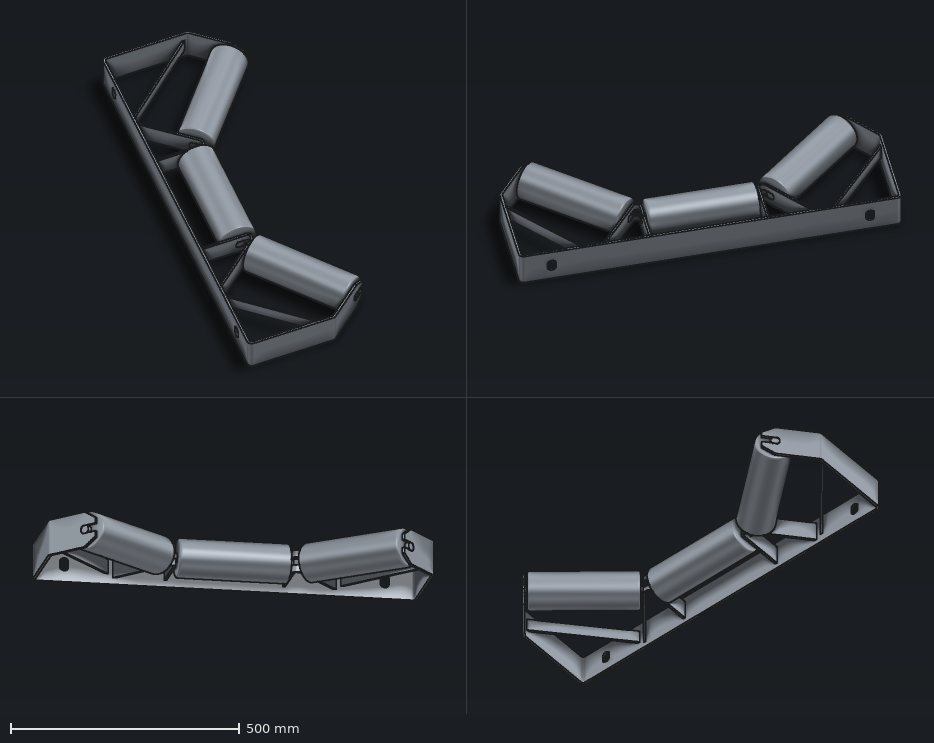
import cadquery as cq
import math

tilt = 40.0
roller_diameter = 89.0
roller_length = 249.0
roller_edge_radius = 5.0
middle_roller_y = 100.0
side_roller_x = 261.0
side_roller_y = 194.0

shaft_diameter = 21.0
flats_width = 18.0
shoulder_distance = 127.0
seat_distance = 130.0

frame_width = 860.0
strip_height = 80.0
strip_thickness = 6.0
strip_inner_radius = 5.0
arm_length = 132.0
arm_corner_length = 30.0
arm_corner_height = 18.0

mount_hole_pitch = 715.5
mount_hole_width = 19.0
mount_hole_height = 28.0

plate_thickness = 5.0
plate_inner_radius = 3.5
bracket_height = 50.0
bracket_top_y = 125.5
brace_height = 33.0
brace_foot_x = -260.0
brace_wall_y = 195.0

slot_axial_reach = 18.0
slot_open_length = 52.0

half_width = frame_width / 2
slope = math.radians(90 - tilt)
slope_x = math.cos(slope)
slope_y = math.sin(slope)
arm_bend_y = side_roller_y + (
    seat_distance + strip_thickness - (half_width - side_roller_x) * slope_y
) / slope_x
arm_tip = (-half_width + arm_length * slope_x, arm_bend_y + arm_length * slope_y)
shaft_length = 2 * (seat_distance + plate_thickness)


def prism(points, height):
    """Prism on a closed XY outline, centred on Z = 0."""
    return cq.Workplane("XY").polyline(points).close().extrude(height / 2, both=True)


def mirror_points(points):
    return [(-x, y) for x, y in reversed(points)]


def fillet_upright_edge(body, point, radius):
    """Fillet the edge along Z that passes through an XY point."""
    x, y = point
    reach = 0.4
    around_edge = cq.selectors.BoxSelector(
        (x - reach, y - reach, -strip_height), (x + reach, y + reach, strip_height)
    )
    return body.edges(around_edge).fillet(radius)


def round_bend(body, outer, inner, inner_radius, thickness):
    """Round a sheet bend, given its sharp outer and inner corners."""
    body = fillet_upright_edge(body, outer, inner_radius + thickness)
    return fillet_upright_edge(body, inner, inner_radius)


def place_rollerwise(body):
    """Copies of a body built for a roller along X at the origin, at the three roller places."""
    copies = [body.translate((0, middle_roller_y, 0))]
    for side in (-1, 1):
        turned = body.rotate((0, 0, 0), (0, 0, 1), side * tilt)
        copies.append(turned.translate((side * side_roller_x, side_roller_y, 0)))
    return copies


def make_roller():
    """Roller with its shaft, along X, centred on the origin."""
    shell = (
        cq.Workplane("YZ", origin=(-roller_length / 2, 0, 0))
        .circle(roller_diameter / 2)
        .extrude(roller_length)
        .edges()
        .fillet(roller_edge_radius)
    )
    round_shaft = cq.Workplane("YZ").circle(shaft_diameter / 2).extrude(shoulder_distance, both=True)
    flat_shaft = (
        cq.Workplane("YZ")
        .circle(shaft_diameter / 2)
        .extrude(shaft_length / 2, both=True)
        .intersect(cq.Workplane("XY").box(shaft_length, shaft_diameter, flats_width))
    )
    return shell.union(round_shaft).union(flat_shaft)


def make_slot_cutter(side):
    """Slot for one flattened shaft end of a roller along X, open toward +Y."""
    start = cq.Workplane("YZ", origin=(side * roller_length / 2, 0, 0))
    seat = start.circle(shaft_diameter / 2).extrude(side * slot_axial_reach)
    mouth = start.center(slot_open_length / 2, 0).rect(slot_open_length, flats_width)
    flats = cq.Workplane("XY").box(2 * roller_length, shaft_diameter, flats_width)
    return seat.intersect(flats).union(mouth.extrude(side * slot_axial_reach))


def make_arm_corner_cutter(side):
    """Wedge that takes the corner off the free end of the left arm, above or below."""
    edge = side * strip_height / 2
    along_arm = cq.Plane(
        origin=(*arm_tip, 0), xDir=(-slope_x, -slope_y, 0), normal=(slope_y, -slope_x, 0)
    )
    return (
        cq.Workplane(along_arm)
        .polyline([(0, edge), (arm_corner_length, edge), (0, edge - side * arm_corner_height)])
        .close()
        .extrude(strip_thickness)
    )


def make_strip():
    """Bent strip with cut arm corners and two mounting holes."""
    outer_corner = (-half_width, 0)
    inner_corner = (-half_width + strip_thickness, strip_thickness)
    outer_bend = (-half_width, arm_bend_y)
    inner_bend = (
        -half_width + strip_thickness,
        arm_bend_y - strip_thickness * math.tan(math.radians(tilt / 2)),
    )
    inner_tip = (arm_tip[0] + strip_thickness * slope_y, arm_tip[1] - strip_thickness * slope_x)
    left = [inner_corner, inner_bend, inner_tip, arm_tip, outer_bend, outer_corner]
    strip = prism(left + mirror_points(left), strip_height)

    for outer, inner in ((outer_corner, inner_corner), (outer_bend, inner_bend)):
        for side in (-1, 1):
            outer_point = (-side * outer[0], outer[1])
            inner_point = (-side * inner[0], inner[1])
            strip = round_bend(strip, outer_point, inner_point, strip_inner_radius, strip_thickness)

    for side in (-1, 1):
        corner = make_arm_corner_cutter(side)
        strip = strip.cut(corner).cut(corner.mirror("YZ"))

    holes = (
        cq.Workplane("XZ")
        .pushPoints([(-mount_hole_pitch / 2, 0), (mount_hole_pitch / 2, 0)])
        .slot2D(mount_hole_height, mount_hole_width, 90)
        .extrude(-strip_thickness)
    )
    return strip.cut(holes)


def make_bracket():
    """Left bracket: an upright leg at the middle roller and a sloping leg at the side roller."""
    foot_y = strip_thickness
    under_top_y = bracket_top_y - plate_thickness
    upright_x = -seat_distance
    crown_x = (seat_distance - (side_roller_y - bracket_top_y) * slope_x) / slope_y - side_roller_x
    foot_x = crown_x - (bracket_top_y - foot_y) / math.tan(slope)

    outer_crown = (crown_x, bracket_top_y)
    inner_crown = (crown_x + plate_thickness * math.tan(slope / 2), under_top_y)
    outer_corner = (upright_x, bracket_top_y)
    inner_corner = (upright_x - plate_thickness, under_top_y)
    bracket = prism(
        [
            (foot_x, foot_y),
            outer_crown,
            outer_corner,
            (upright_x, foot_y),
            (upright_x - plate_thickness, foot_y),
            inner_corner,
            inner_crown,
            (foot_x + plate_thickness / slope_y, foot_y),
        ],
        bracket_height,
    )
    for outer, inner in ((outer_crown, inner_crown), (outer_corner, inner_corner)):
        bracket = round_bend(bracket, outer, inner, plate_inner_radius, plate_thickness)
    return bracket


def make_brace():
    """Left brace: a flat bar from the strip's long side up to its side wall."""
    foot_y = strip_thickness
    wall_x = -half_width + strip_thickness
    brace_angle = math.atan2(brace_wall_y - foot_y, brace_foot_x - wall_x)
    return prism(
        [
            (brace_foot_x, foot_y),
            (wall_x, brace_wall_y),
            (wall_x, brace_wall_y - plate_thickness / math.cos(brace_angle)),
            (brace_foot_x - plate_thickness / math.sin(brace_angle), foot_y),
        ],
        brace_height,
    )


def make_frame():
    """Welded frame: strip, two brackets and two braces, slotted for the shafts."""
    frame = make_strip()
    for plate in (make_bracket(), make_brace()):
        frame = frame.union(plate).union(plate.mirror("YZ"))
    for side in (-1, 1):
        for slot in place_rollerwise(make_slot_cutter(side)):
            frame = frame.cut(slot)
    return frame


frame = make_frame()
rollers = place_rollerwise(make_roller())

result = cq.Compound.makeCompound([frame.solids().val(), *[roller.solids().val() for roller in rollers]])